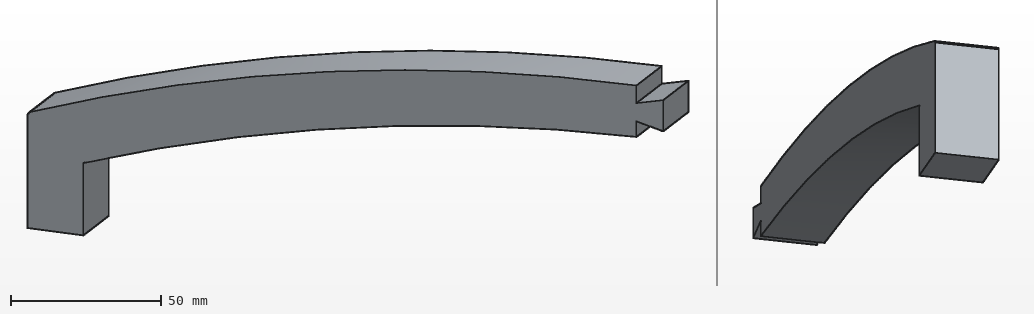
import cadquery as cq
import math

length = 229.0
width = 22.0
height = 78.5

leg_thickness = 20.1
leg_inner_height = 25.5
arm_start_height = 40.7

bevel_run = 0.7
bevel_rise = 1.0

arm_radius = 654.6
arm_end_thickness = 18.0

tongue_length = 9.5
tongue_root_height = 6.5
tongue_tip_height = 11.0
tongue_center_drop = 9.4

arm_end_x = length - tongue_length
tongue_z = height - tongue_center_drop


def arch_midpoint(start, end, radius):
    """Middle point of the upward-bulging arc from start to end, start being the left end."""
    run = end[0] - start[0]
    rise = end[1] - start[1]
    chord = math.hypot(run, rise)
    sagitta = radius - math.sqrt(radius**2 - (chord / 2)**2)
    mid_x = (start[0] + end[0]) / 2
    mid_z = (start[1] + end[1]) / 2
    return (mid_x - sagitta * rise / chord, mid_z + sagitta * run / chord)


upper_start = (bevel_run, arm_start_height)
upper_end = (arm_end_x, height)
lower_start = (leg_thickness, leg_inner_height)
lower_end = (arm_end_x, height - arm_end_thickness)

profile = (
    cq.Workplane("XZ")
    .lineTo(0, arm_start_height - bevel_rise)
    .lineTo(*upper_start)
    .threePointArc(arch_midpoint(upper_start, upper_end, arm_radius), upper_end)
    .lineTo(arm_end_x, tongue_z + tongue_root_height / 2)
    .lineTo(length, tongue_z + tongue_tip_height / 2)
    .lineTo(length, tongue_z - tongue_tip_height / 2)
    .lineTo(arm_end_x, tongue_z - tongue_root_height / 2)
    .lineTo(*lower_end)
    .threePointArc(arch_midpoint(lower_start, lower_end, arm_radius), lower_start)
    .lineTo(leg_thickness, 0)
    .close()
)

result = profile.extrude(width / 2, both=True)